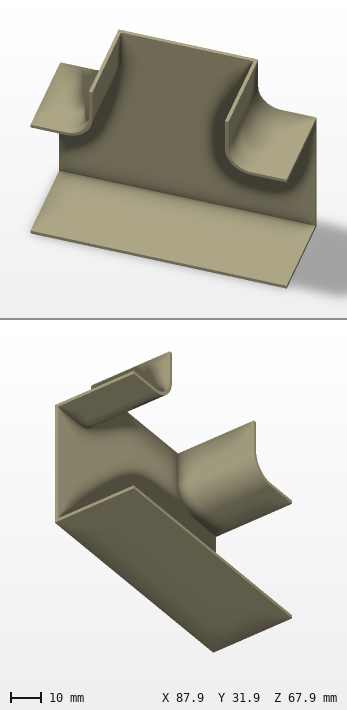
import cadquery as cq

length = 87.9
depth = 31.9
height = 67.9

wall = 1.2
branch_rise = 20.0
shoulder = 20.0
corner_radius = 8.0

run_height = height - branch_rise
half_length = length / 2
branch_half = half_length - shoulder


def tee_prism(inset, end_overrun, y_start, y_end):
    """Tee-shaped prism, with walls moved in by inset and open ends moved out by end_overrun."""
    radius = corner_radius + inset
    end_x = half_length + end_overrun
    neck_x = branch_half - inset
    bottom_z = inset
    run_top_z = run_height - inset
    branch_top_z = height + end_overrun
    arc_center_x = neck_x + radius
    arc_center_z = run_top_z + radius
    outline = (
        cq.Workplane("XZ", origin=(0, y_start, 0))
        .moveTo(-end_x, bottom_z)
        .lineTo(end_x, bottom_z)
        .lineTo(end_x, run_top_z)
        .lineTo(arc_center_x, run_top_z)
        .radiusArc((neck_x, arc_center_z), radius)
        .lineTo(neck_x, branch_top_z)
        .lineTo(-neck_x, branch_top_z)
        .lineTo(-neck_x, arc_center_z)
        .radiusArc((-arc_center_x, run_top_z), radius)
        .lineTo(-end_x, run_top_z)
        .close()
    )
    return outline.extrude(y_start - y_end)


overrun = 1.0
body = tee_prism(0, 0, 0, depth)
cavity = tee_prism(wall, overrun, -overrun, depth - wall)
result = body.cut(cavity)